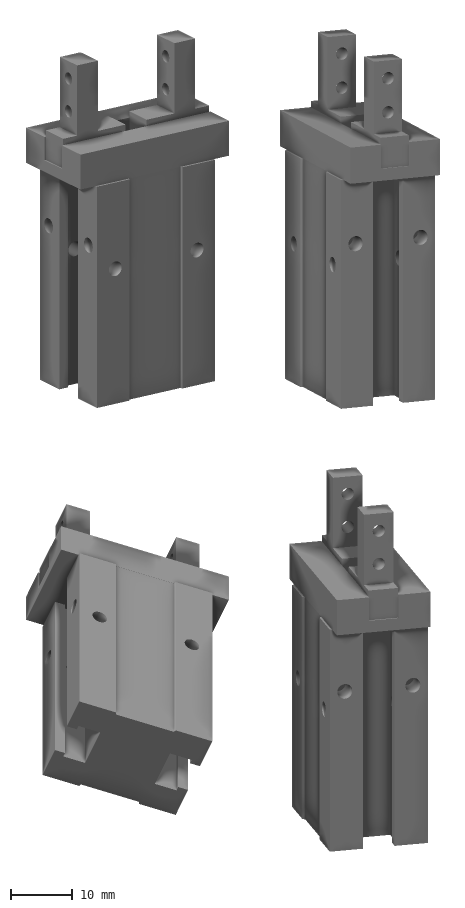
import cadquery as cq


total_height = 57.0
body_height = 37.9
plate_top = 43.9
jaw_bottom = 39.9
flange_top = 45.0

body_thickness = 16.4
body_length = 23.0
panel_recess = 0.4
panel_half_top = 5.2
panel_half_floor = 5.0

plate_thickness = 15.7
plate_length = 29.0

slot_mouth_width = 5.3
slot_inner_width = 6.8
slot_lip = 1.7
slot_depth = 5.5

mount_hole_diameter = 2.5
cross_hole_y = 8.0
cross_hole_z = 23.15
end_hole_x = 5.7
end_hole_z = 27.15
end_hole_depth = 4.0

jaw_width = 4.95
jaw_inner_y = 2.05
jaw_outer_y = 14.25
finger_inner_y = 7.45
finger_outer_y = body_length / 2
finger_hole_diameter = 2.05
finger_hole_depths = (2.95, 8.6)

SIDES = (-1, 1)


def block(width, y_start, y_end, z_start, z_end):
    """Box centred on X = 0, between two Y and two Z limits."""
    return (
        cq.Workplane("XY", origin=(0, (y_start + y_end) / 2, z_start))
        .box(width, abs(y_end - y_start), z_end - z_start, centered=(True, True, False))
    )


def make_side_panel(side):
    """Shallow recess with sloped flanks, cut along the full body height."""
    face_x = side * body_thickness / 2
    floor_x = face_x - side * panel_recess
    return (
        cq.Workplane("XY")
        .polyline([
            (face_x, -panel_half_top),
            (floor_x, -panel_half_floor),
            (floor_x, panel_half_floor),
            (face_x, panel_half_top),
        ])
        .close()
        .extrude(body_height)
    )


def make_t_slot(side):
    """Vertical T-slot in one end of the body."""
    end_y = side * body_length / 2
    lip_y = end_y - side * slot_lip
    back_y = end_y - side * slot_depth
    mouth = block(slot_mouth_width, end_y, lip_y, 0, body_height)
    chamber = block(slot_inner_width, lip_y, back_y, 0, body_height)
    return mouth.union(chamber)


def make_cross_hole(side):
    """Hole through the whole body thickness."""
    return (
        cq.Workplane("YZ", origin=(-body_thickness / 2, side * cross_hole_y, cross_hole_z))
        .circle(mount_hole_diameter / 2)
        .extrude(body_thickness)
    )


def make_end_holes(side):
    """Pair of blind holes beside the T-slot in one end of the body."""
    return (
        cq.Workplane("XZ", origin=(0, side * body_length / 2, end_hole_z))
        .pushPoints([(-end_hole_x, 0), (end_hole_x, 0)])
        .circle(mount_hole_diameter / 2)
        .extrude(side * end_hole_depth)
    )


def make_housing():
    """Body with the guide plate and the channel that holds the jaws."""
    body = block(body_thickness, -body_length / 2, body_length / 2, 0, body_height)
    for side in SIDES:
        body = body.cut(make_side_panel(side))
        body = body.cut(make_t_slot(side))
        body = body.cut(make_cross_hole(side))
        body = body.cut(make_end_holes(side))
    half_plate = plate_length / 2
    plate = block(plate_thickness, -half_plate, half_plate, body_height, plate_top)
    channel = block(jaw_width, -half_plate, half_plate, jaw_bottom, plate_top)
    return body.union(plate).cut(channel)


def make_jaw(side):
    """Sliding jaw: a foot in the channel and an upright finger with two holes."""
    foot = block(jaw_width, side * jaw_inner_y, side * jaw_outer_y, jaw_bottom, flange_top)
    finger = block(jaw_width, side * finger_inner_y, side * finger_outer_y, flange_top, total_height)
    hole_points = [(0, total_height - depth) for depth in finger_hole_depths]
    holes = (
        cq.Workplane("XZ", origin=(0, side * finger_outer_y, 0))
        .pushPoints(hole_points)
        .circle(finger_hole_diameter / 2)
        .extrude(side * (finger_outer_y - finger_inner_y))
    )
    return foot.union(finger).cut(holes)


housing = make_housing()
jaws = [make_jaw(side) for side in SIDES]

result = cq.Compound.makeCompound([housing.val(), *[jaw.val() for jaw in jaws]])